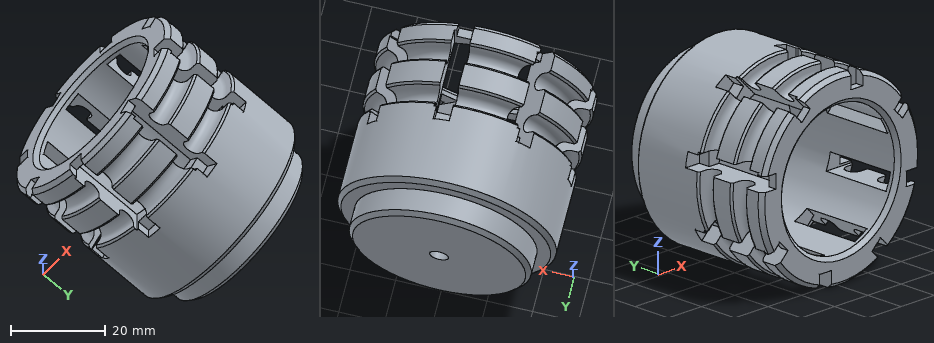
import cadquery as cq

body_radius = 24.0
body_length = 38.0
boss_radius = 40.0 / 2
boss_length = 6.0
total_length = body_length + boss_length
edge_chamfer = 1.0

bore_radius = 34.0 / 2
bore_depth = 32.0
centre_hole_radius = 4.15 / 2

groove_radius = 2.0
groove_depth = 4.0
first_groove = 7.0
groove_spacing = 10.0
groove_count = 2
groove_chamfer = 0.5

slot_count = 8
slot_inner_side = 3.0
notch_width = 3.5
notch_floor = 19.7
notch_length = 23.0
window_start = 2.0
window_end = 20.0
window_width = 4.05

clearance = 2.4


def make_body():
    """Stepped, chamfered cylinder with a blind bore and a small centre hole, turned about Y."""
    bore_mouth = bore_radius + edge_chamfer
    profile = (
        cq.Workplane("XY")
        .moveTo(bore_mouth, 0)
        .lineTo(body_radius - edge_chamfer, 0)
        .lineTo(body_radius, edge_chamfer)
        .lineTo(body_radius, body_length - edge_chamfer)
        .lineTo(body_radius - edge_chamfer, body_length)
        .lineTo(boss_radius, body_length)
        .lineTo(boss_radius, total_length - edge_chamfer)
        .lineTo(boss_radius - edge_chamfer, total_length)
        .lineTo(centre_hole_radius, total_length)
        .lineTo(centre_hole_radius, bore_depth)
        .lineTo(bore_radius, bore_depth)
        .lineTo(bore_radius, edge_chamfer)
        .close()
    )
    return profile.revolve(360, (0, 0, 0), (0, 1, 0))


def make_groove(position):
    """Ring cutter with a round bottom, straight sides and chamfered rims."""
    bottom = body_radius - groove_depth
    arc_centre = bottom + groove_radius
    chamfer_start = body_radius - groove_chamfer
    front = position - groove_radius
    back = position + groove_radius
    profile = (
        cq.Workplane("XY")
        .moveTo(arc_centre, front)
        .threePointArc((bottom, position), (arc_centre, back))
        .lineTo(chamfer_start, back)
        .lineTo(body_radius, back + groove_chamfer)
        .lineTo(body_radius + clearance, back + groove_chamfer)
        .lineTo(body_radius + clearance, front - groove_chamfer)
        .lineTo(body_radius, front - groove_chamfer)
        .lineTo(chamfer_start, front)
        .close()
    )
    return profile.revolve(360, (0, 0, 0), (0, 1, 0))


def make_cutter(bottom, width, start, end):
    """Box cutter from the common inner side of a slot, spanning start to end along Y."""
    height = body_radius + clearance - bottom
    cutter = cq.Workplane("XY").box(width, end - start, height, centered=False)
    return cutter.translate((slot_inner_side, start, bottom))


def make_slot():
    """Off-centre shallow notch with a wider window through to the bore."""
    notch = make_cutter(notch_floor, notch_width, 0, notch_length)
    window = make_cutter(bore_radius - clearance, window_width, window_start, window_end)
    return notch.union(window)


result = make_body()

for index in range(groove_count):
    result = result.cut(make_groove(first_groove + index * groove_spacing))

slot = make_slot()
for index in range(slot_count):
    result = result.cut(slot.rotate((0, 0, 0), (0, 1, 0), index * 360 / slot_count))